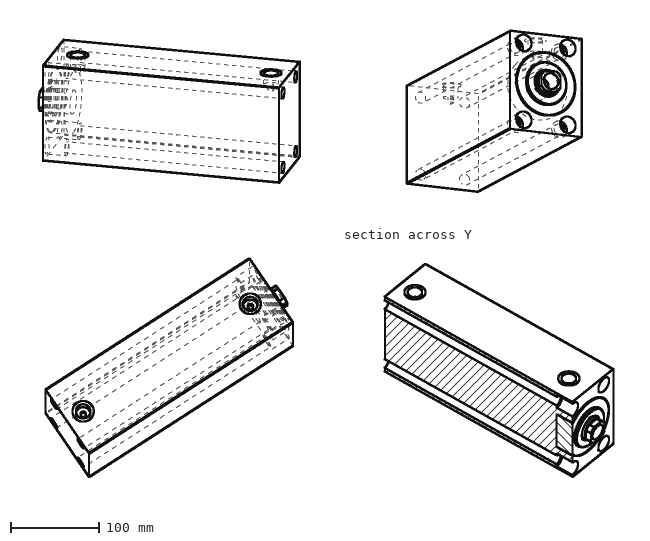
import cadquery as cq
import math


TOTAL_LENGTH = 291.5
WIDTH = 90.0
HEIGHT = 115.0
ROD_REACH = 14.0
HOUSING_LENGTH = TOTAL_LENGTH - ROD_REACH
EDGE_CHAMFER = 1.0

BOLT_PITCH_Y = 55.0
BOLT_PITCH_Z = 90.0
BOLT_DIAMETER = 12.8
BOLT_HEAD_DIAMETER = 19.2
BOLT_HEAD_DEPTH = 23.3

FRONT_PORT_X = 28.5
REAR_PORT_X = HOUSING_LENGTH - 21.5
SPOTFACE_DIAMETER = 24.2
SPOTFACE_DEPTH = 0.3
PORT_DIAMETER = 16.5
PORT_DEPTH = 14.5
FEED_DIAMETER = 6.5
FEED_DEPTH = 20.5
DRILL_POINT_ANGLE = 118.0

GLAND_DIAMETER = 74.0
GLAND_DEPTH = 23.3
GLAND_CHAMFER = 1.0
BOSS_DIAMETER = 49.8
BOSS_RIM_DIAMETER = 48.5
BOSS_STEP_HEIGHT = 1.7
BOSS_HEIGHT = 3.5
WIPER_DIAMETER = 31.2
WIPER_DEPTH = 2.3

ROD_DIAMETER = 27.7
ROD_CHAMFER_LENGTH = 1.0
TIP_DIAMETER = 27.0
ROD_CHAMFER_DEPTH = (ROD_DIAMETER - TIP_DIAMETER) / 2
TIP_LENGTH = 7.0
ACROSS_FLATS = 24.0
ROD_HOLE_DIAMETER = 18.5
ROD_HOLE_DEPTH = 26.2


def x_cylinder(diameter, x_start, x_end):
    """Cylinder on the rod axis between two X positions."""
    return cq.Workplane("YZ", origin=(x_start, 0, 0)).circle(diameter / 2).extrude(x_end - x_start)


def drill_point_length(diameter):
    """Height of the cone that a drill leaves below a hole."""
    return diameter / 2 / math.tan(math.radians(DRILL_POINT_ANGLE / 2))


def drilled_hole(diameter, depth):
    """Blind drilled hole going down from the origin, with a conical bottom."""
    radius = diameter / 2
    profile = [(0, 0), (radius, 0), (radius, -depth), (0, -depth - drill_point_length(diameter))]
    return cq.Workplane("XZ").polyline(profile).close().revolve(360, (0, 0, 0), (0, 1, 0))


def make_port():
    """Spotfaced port with a smaller feed hole, cut down from the top face at the origin."""
    spotface = cq.Workplane("XY").circle(SPOTFACE_DIAMETER / 2).extrude(-SPOTFACE_DEPTH)
    bore = cq.Workplane("XY").circle(PORT_DIAMETER / 2).extrude(-PORT_DEPTH)
    return spotface.union(bore).union(drilled_hole(FEED_DIAMETER, FEED_DEPTH))


def make_gland_blank():
    """Gland plug without the rod opening; it also cuts its own seat in the housing."""
    return x_cylinder(GLAND_DIAMETER, 0, GLAND_DEPTH)


def make_housing():
    housing = cq.Workplane("XY").box(HOUSING_LENGTH, WIDTH, HEIGHT, centered=(False, True, True))
    housing = housing.edges("|X").chamfer(EDGE_CHAMFER)
    housing = (
        housing.faces("<X").workplane(origin=(0, 0, 0))
        .rect(BOLT_PITCH_Y, BOLT_PITCH_Z, forConstruction=True).vertices()
        .cboreHole(BOLT_DIAMETER, BOLT_HEAD_DIAMETER, BOLT_HEAD_DEPTH)
    )
    for port_x in (FRONT_PORT_X, REAR_PORT_X):
        housing = housing.cut(make_port().translate((port_x, 0, HEIGHT / 2)))
    return housing.cut(make_gland_blank())


def make_gland():
    gland = make_gland_blank().faces("<X").chamfer(GLAND_CHAMFER)
    boss_base = x_cylinder(BOSS_DIAMETER, -BOSS_STEP_HEIGHT, 0)
    boss_rim = x_cylinder(BOSS_RIM_DIAMETER, -BOSS_HEIGHT, -BOSS_STEP_HEIGHT)
    rod_bore = x_cylinder(ROD_DIAMETER, -BOSS_HEIGHT, GLAND_DEPTH)
    wiper_recess = x_cylinder(WIPER_DIAMETER, -BOSS_HEIGHT, WIPER_DEPTH - BOSS_HEIGHT)
    return gland.union(boss_base).union(boss_rim).cut(rod_bore).cut(wiper_recess)


def make_rod():
    shoulder_x = TIP_LENGTH - ROD_REACH
    body = x_cylinder(ROD_DIAMETER, shoulder_x, GLAND_DEPTH).faces("<X").chamfer(ROD_CHAMFER_LENGTH, ROD_CHAMFER_DEPTH)
    square = cq.Workplane("YZ", origin=(-ROD_REACH, 0, 0)).rect(ACROSS_FLATS, ACROSS_FLATS).extrude(TIP_LENGTH)
    tip = x_cylinder(TIP_DIAMETER, -ROD_REACH, shoulder_x).intersect(square)
    hole = drilled_hole(ROD_HOLE_DIAMETER, ROD_HOLE_DEPTH)
    hole = hole.rotate((0, 0, 0), (0, 1, 0), -90).translate((-ROD_REACH, 0, 0))
    return body.union(tip).cut(hole)


housing = make_housing()
gland = make_gland()
rod = make_rod()

result = cq.Compound.makeCompound([housing.val(), gland.val(), rod.val()])